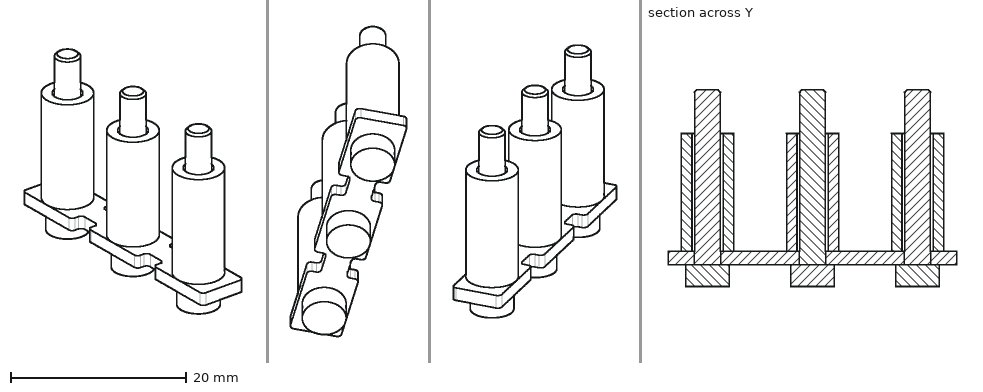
import cadquery as cq

station_count = 3
strip_length = 33.0
strip_width = 6.0
strip_thickness = 1.6
pad_length = 9.0
neck_width = strip_width / 2
corner_radius = 0.5
neck_length = (strip_length - station_count * pad_length) / (station_count - 1)
pitch = pad_length + neck_length

sleeve_diameter = strip_width
sleeve_bore = 3.5
sleeve_height = 13.43

pin_diameter = 3.0
pin_projection = 5.0
pin_chamfer = 0.3
pin_length = strip_thickness + sleeve_height + pin_projection

foot_diameter = 5.0
foot_height = 2.48

station_positions = [
    (pitch * (index - (station_count - 1) / 2), 0) for index in range(station_count)
]


def make_strip():
    """Pads and necks with rounded outer and inner corners, bored to fit the pins."""
    neck_bar_length = strip_length - pad_length
    strip = cq.Workplane("XY").box(
        neck_bar_length, neck_width, strip_thickness, centered=(True, True, False)
    )
    for position in station_positions:
        pad = cq.Workplane("XY").center(*position).rect(pad_length, strip_width).extrude(strip_thickness)
        strip = strip.union(pad)
    strip = strip.edges("|Z").fillet(corner_radius)
    pin_holes = (
        cq.Workplane("XY").pushPoints(station_positions).circle(pin_diameter / 2).extrude(strip_thickness)
    )
    return strip.cut(pin_holes)


def make_sleeve(position):
    """Plain tube whose bore leaves clearance around the pin."""
    return (
        cq.Workplane("XY", origin=(0, 0, strip_thickness))
        .center(*position)
        .circle(sleeve_diameter / 2)
        .circle(sleeve_bore / 2)
        .extrude(sleeve_height)
    )


def make_pin(position):
    """Round pin with a chamfered tip, starting level with the lower face of the strip."""
    return (
        cq.Workplane("XY")
        .center(*position)
        .circle(pin_diameter / 2)
        .extrude(pin_length)
        .faces(">Z")
        .chamfer(pin_chamfer)
    )


def make_foot(position):
    """Solid disc below the strip, closing off the pin hole."""
    return cq.Workplane("XY").center(*position).circle(foot_diameter / 2).extrude(-foot_height)


strip = make_strip()
bodies = [strip.val()]
for position in station_positions:
    bodies.append(make_sleeve(position).val())
    bodies.append(make_pin(position).val())
    bodies.append(make_foot(position).val())

result = cq.Compound.makeCompound(bodies)